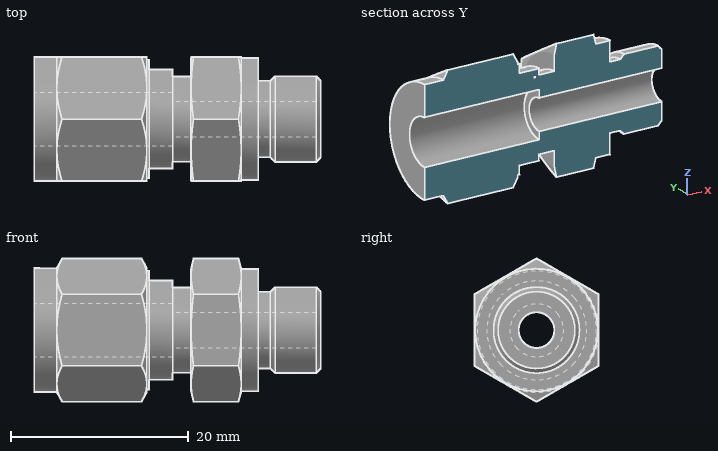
import cadquery as cq
import math

overall_length = 32.3
across_flats = 14.0
across_corners = across_flats / math.cos(math.radians(30))

nut_hex_start = 2.55
nut_hex_end = 12.7
nut_collar_end = 12.95
shoulder_end = 15.6
body_hex_start = 17.65
body_hex_end = 23.32
flange_end = 25.25
thread_start = 26.62

nut_nose_diameter = across_flats
nut_collar_diameter = 13.4
shoulder_diameter = 11.2
neck_diameter = 9.65
body_hex_face_diameter = 13.6
flange_diameter = 13.8
relief_diameter = 8.66
thread_diameter = 9.7
through_bore_diameter = 4.0
tube_socket_diameter = 6.0

nut_chamfer_length = 0.6
body_chamfer_length = 0.3
thread_bevel = (thread_diameter - relief_diameter) / 2

tube_socket_depth = shoulder_end


def cylinder(start, end, diameter):
    """Solid cylinder on the X axis between two stations."""
    return cq.Workplane("YZ", origin=(start, 0, 0)).circle(diameter / 2).extrude(end - start)


def chamfered_hexagon(start, end, start_face_diameter, end_face_diameter, chamfer_length):
    """Hexagon with corners along Z, its corners turned off by a cone at both ends."""
    prism = (
        cq.Workplane("YZ", origin=(start, 0, 0))
        .transformed(rotate=(0, 0, 90))
        .polygon(6, across_corners)
        .extrude(end - start)
    )
    corner_radius = across_corners / 2
    turned_envelope = (
        cq.Workplane("XZ")
        .moveTo(start, 0)
        .lineTo(start, start_face_diameter / 2)
        .lineTo(start + chamfer_length, corner_radius)
        .lineTo(end - chamfer_length, corner_radius)
        .lineTo(end, end_face_diameter / 2)
        .lineTo(end, 0)
        .close()
        .revolve(360, (0, 0, 0), (1, 0, 0))
    )
    return prism.intersect(turned_envelope)


def union_nut():
    nose = cylinder(0, nut_hex_start, nut_nose_diameter)
    hexagon = chamfered_hexagon(
        nut_hex_start, nut_hex_end, nut_nose_diameter, nut_nose_diameter, nut_chamfer_length
    )
    collar = cylinder(nut_hex_end, nut_collar_end, nut_collar_diameter)
    return nose.union(hexagon).union(collar)


def fitting_body():
    shoulder = cylinder(nut_collar_end, shoulder_end, shoulder_diameter)
    neck = cylinder(shoulder_end, body_hex_start, neck_diameter)
    hexagon = chamfered_hexagon(
        body_hex_start, body_hex_end, body_hex_face_diameter, across_flats, body_chamfer_length
    )
    flange = cylinder(body_hex_end, flange_end, flange_diameter)
    return shoulder.union(neck).union(hexagon).union(flange)


def threaded_spigot():
    relief = cylinder(flange_end, thread_start, relief_diameter)
    thread = cylinder(thread_start, overall_length, thread_diameter)
    thread = thread.edges("%CIRCLE").chamfer(thread_bevel)
    return relief.union(thread)


through_bore = cylinder(0, overall_length, through_bore_diameter)
tube_socket = cylinder(0, tube_socket_depth, tube_socket_diameter)

result = union_nut().union(fitting_body()).union(threaded_spigot()).cut(through_bore).cut(tube_socket)